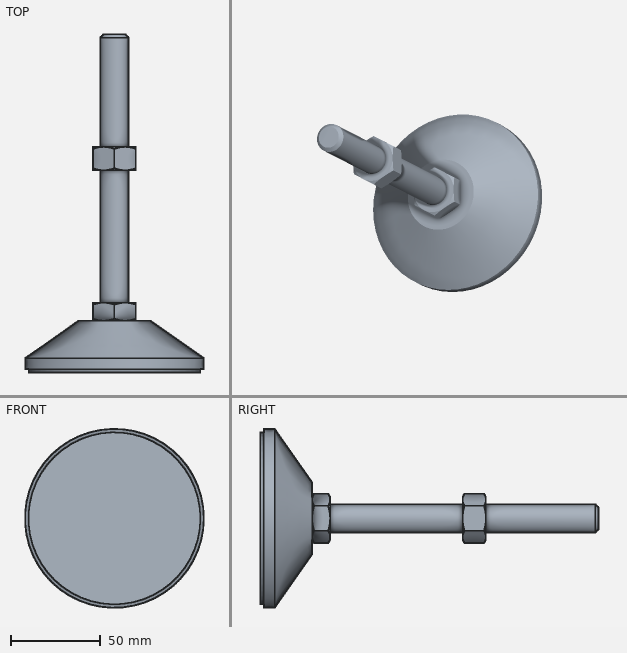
import cadquery as cq
import math


plate_diameter = 100.0
pad_diameter = 96.0
pad_height = 2.0
rim_height = 6.0
cone_height = 21.0
cone_top_diameter = 40.0

rod_diameter = 16.0
rod_length = 150.0
rod_tip_chamfer = 2.0

hex_sides = 6
hex_across_flats = 24.0
hex_chamfer_angle = 30.0
base_hex_height = 10.0
lock_nut_height = 13.0
lock_nut_offset = 74.0

rim_bottom = pad_height
rim_top = rim_bottom + rim_height
cone_top = rim_top + cone_height
base_hex_top = cone_top + base_hex_height
lock_nut_bottom = base_hex_top + lock_nut_offset
rod_top = base_hex_top + rod_length


def revolve_about_y(profile):
    """Revolve (radius, height) points, closed along the axis, about the Y axis."""
    outline = cq.Workplane("XY").polyline(profile).close()
    return outline.revolve(360, (0, 0, 0), (0, 1, 0))


def foot_plate():
    """Stepped disc with a conical top."""
    return revolve_about_y([
        (0, 0),
        (pad_diameter / 2, 0),
        (pad_diameter / 2, rim_bottom),
        (plate_diameter / 2, rim_bottom),
        (plate_diameter / 2, rim_top),
        (cone_top_diameter / 2, cone_top),
        (0, cone_top),
    ])


def rod():
    """Cylinder from the cone top to the chamfered tip."""
    radius = rod_diameter / 2
    return revolve_about_y([
        (0, cone_top),
        (radius, cone_top),
        (radius, rod_top - rod_tip_chamfer),
        (radius - rod_tip_chamfer, rod_top),
        (0, rod_top),
    ])


def hexagon(bottom, height):
    """Hexagonal prism with flats facing +X and -X and both ends' corners chamfered."""
    flat_radius = hex_across_flats / 2
    corner_radius = flat_radius / math.cos(math.pi / hex_sides)
    chamfer_depth = (corner_radius - flat_radius) * math.tan(math.radians(hex_chamfer_angle))
    top = bottom + height

    prism = (
        cq.Workplane("XZ", origin=(0, bottom, 0))
        .transformed(rotate=(0, 0, 90))
        .polygon(hex_sides, 2 * corner_radius)
        .extrude(-height)
    )
    chamfer_envelope = revolve_about_y([
        (0, bottom),
        (flat_radius, bottom),
        (corner_radius, bottom + chamfer_depth),
        (corner_radius, top - chamfer_depth),
        (flat_radius, top),
        (0, top),
    ])
    return prism.intersect(chamfer_envelope)


base_hex = hexagon(cone_top, base_hex_height)
lock_nut = hexagon(lock_nut_bottom, lock_nut_height)
result = foot_plate().union(rod()).union(base_hex).union(lock_nut)